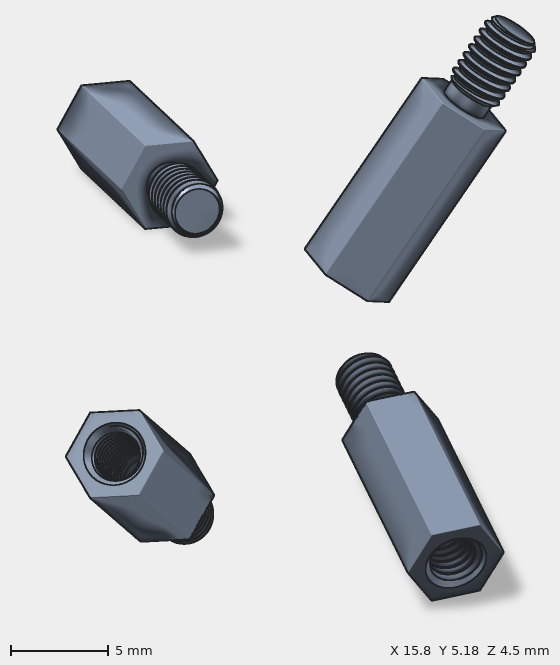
import cadquery as cq
import math


total_length = 15.76
body_length = 11.0
across_flats = 4.5
edge_round = 0.05

major_radius = 1.5
seven_turn_span = 3.5
pitch = seven_turn_span / 7
flank_angle = math.radians(30)
crest_flat = pitch / 8
sharp_height = pitch / (2 * math.tan(flank_angle))
thread_depth = 5 / 8 * sharp_height
minor_radius = major_radius - thread_depth
lead_turns = 2
overlap = 0.03

neck_length = 0.74
first_crest = 1.12
stud_turns = 9
thread_start = body_length + neck_length
tip_radius = 1.2
tip_bevel_length = 0.4

countersink_radius = 1.64
bore_depth = 6.93
first_groove = 0.13
drill_tip_angle = math.radians(118)


def revolve_about_x(points):
    """Solid of revolution about X from a closed (x, radius) outline."""
    return cq.Workplane("XY").polyline(points).close().revolve(360, (0, 0, 0), (1, 0, 0))


def helical_ridge(start_x, length):
    """Right-handed thread ridge about X, its profile centred on +Z at start_x."""
    foot_radius = minor_radius - overlap
    foot_width = crest_flat + 2 * (major_radius - foot_radius) * math.tan(flank_angle)
    helix = cq.Wire.makeHelix(pitch, length, foot_radius)
    profile = (
        cq.Workplane("XZ")
        .polyline([
            (foot_radius, -foot_width / 2),
            (major_radius, -crest_flat / 2),
            (major_radius, crest_flat / 2),
            (foot_radius, foot_width / 2),
        ])
        .close()
    )
    ridge = profile.sweep(cq.Workplane(obj=helix), isFrenet=True)
    return (
        ridge.rotate((0, 0, 0), (0, 1, 0), 90)
        .rotate((0, 0, 0), (1, 0, 0), 180)
        .translate((start_x, 0, 0))
    )


def make_body():
    corner_diameter = across_flats / math.cos(math.radians(30))
    return (
        cq.Workplane("YZ")
        .polygon(6, corner_diameter)
        .extrude(body_length)
        .edges()
        .fillet(edge_round)
    )


def make_stud():
    core = revolve_about_x([
        (body_length - overlap, 0),
        (body_length - overlap, minor_radius),
        (total_length, minor_radius),
        (total_length, 0),
    ])
    ridge = helical_ridge(
        body_length + first_crest - lead_turns * pitch,
        (lead_turns + stud_turns) * pitch,
    )
    envelope_radius = major_radius + overlap
    envelope = revolve_about_x([
        (body_length - overlap, 0),
        (body_length - overlap, minor_radius),
        (thread_start, minor_radius),
        (thread_start + envelope_radius - minor_radius, envelope_radius),
        (total_length - tip_bevel_length, envelope_radius),
        (total_length, tip_radius),
        (total_length, 0),
    ])
    return core.intersect(envelope).union(ridge.intersect(envelope))


def make_bore():
    drill_tip_height = minor_radius / math.tan(drill_tip_angle / 2)
    countersink_depth = countersink_radius - minor_radius
    return revolve_about_x([
        (0, 0),
        (0, countersink_radius),
        (countersink_depth, minor_radius),
        (bore_depth, minor_radius),
        (bore_depth + drill_tip_height, 0),
    ])


def make_bore_groove():
    return helical_ridge(first_groove - lead_turns * pitch, bore_depth)


result = (
    make_body()
    .cut(make_bore_groove())
    .cut(make_bore())
    .union(make_stud())
)